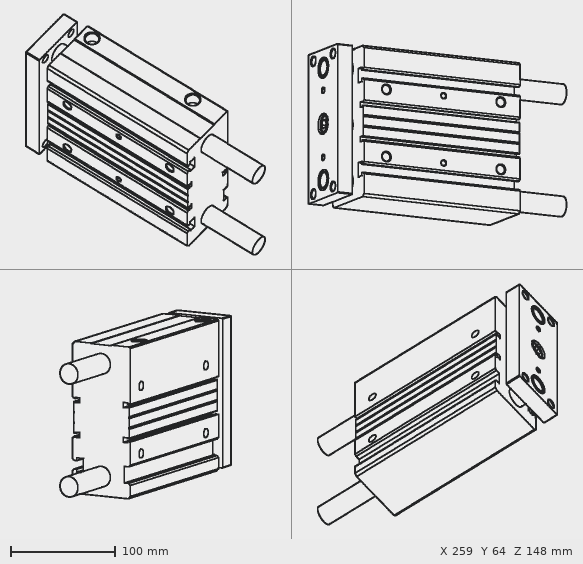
import cadquery as cq
import math

total_length = 259.0
plate_thickness = 16.0
plate_width = 59.8
plate_height = 145.8
plate_chamfer = 0.8
body_start = 27.5
body_end = 196.8
body_length = body_end - body_start
body_width = 64.0
body_height = 148.0
front_y = -body_width / 2
back_y = body_width / 2
top_z = body_height / 2

guide_spacing = 109.8
guide_diameter = 20.0
piston_diameter = 16.0
piston_end = 111.4
tip_diameter = 16.0
tip_chamfer = 0.8
guide_tip_recess = 0.5
piston_tip_recess = 1.0
seat_diameter = 20.0
guide_seat_depth = 0.8
piston_seat_depth = 2.3
hex_across_flats = 8.0
hex_depth = 5.2

corner_hole_spacing_y = 40.0
corner_hole_spacing_z = 130.0
rim_diameter = 10.0
drill_diameter = 8.5
pin_spacing = 65.8
pin_diameter = 5.0
pin_depth = 10.0
pin_rim_diameter = 6.0
drill_point_angle = 118.0

edge_chamfer = 2.5
small_chamfer = 1.3
slot_chamfer = 1.8
band_recess = 1.3
band_half_height = 15.5
band_chamfer = 0.8
notch_width = 2.8
notch_neck_depth = 3.4
notch_depth = 7.8
notch_inner_width = 5.0
groove_offset = 5.2
groove_width = 1.8
groove_depth = 0.5
top_recess_width = 22.0
top_recess_depth = 0.5
top_recess_slope = 0.8

t_slot_offset = 46.0
t_neck_width = 8.3
t_neck_depth = 5.0
t_inner_width = 14.0
t_slot_depth = 12.0
back_slot_z = -50.8
back_slot_width = 16.0
back_slot_depth = 6.5

mount_x = (51.8, 175.9)
body_pin_x = sum(mount_x) / len(mount_x)
port_x = (40.1, 162.1)
port_y = 21.8
port_diameter = 13.2
port_mouth_diameter = 15.3
port_depth = 13.0
port_passage_diameter = 4.7
port_passage_depth = 26.0
collar_diameter = 19.5
collar_thickness = 0.8


def cylinder(diameter, start, direction, length):
    return cq.Workplane(cq.Solid.makeCylinder(diameter / 2, length, cq.Vector(*start), cq.Vector(*direction)))


def cone(diameter_start, diameter_end, start, direction, length):
    return cq.Workplane(
        cq.Solid.makeCone(
            diameter_start / 2, diameter_end / 2, length, cq.Vector(*start), cq.Vector(*direction)
        )
    )


def point_along(start, direction, distance):
    return tuple(s + d * distance for s, d in zip(start, direction))


def drilled_hole(diameter, start, direction, depth, end_diameter=0.0):
    """Blind hole whose drill point narrows to end_diameter."""
    tip_length = (diameter - end_diameter) / 2 / math.tan(math.radians(drill_point_angle / 2))
    tip_start = point_along(start, direction, depth)
    return cylinder(diameter, start, direction, depth).union(
        cone(diameter, end_diameter, tip_start, direction, tip_length)
    )


def countersunk_hole(diameter, mouth_diameter, start, direction, depth):
    mouth_depth = (mouth_diameter - diameter) / 2
    return cylinder(diameter, start, direction, depth).union(
        cone(mouth_diameter, diameter, start, direction, mouth_depth)
    )


def pin_hole(start, direction):
    """Blind locating hole with a chamfered rim and a drill point."""
    chamfered = countersunk_hole(pin_diameter, pin_rim_diameter, start, direction, pin_depth)
    return chamfered.union(drilled_hole(pin_diameter, start, direction, pin_depth))


def profile_bar(points):
    """Prism along the whole body with an outline of (y, z) points."""
    return cq.Workplane("YZ", origin=(body_start, 0, 0)).polyline(points).close().extrude(body_length)


def profile_box(y_from, y_to, z_centre, height):
    low = z_centre - height / 2
    high = z_centre + height / 2
    return profile_bar([(y_from, low), (y_to, low), (y_to, high), (y_from, high)])


def body_blank():
    return profile_bar(
        [
            (front_y + edge_chamfer, -top_z),
            (back_y - edge_chamfer, -top_z),
            (back_y, -top_z + edge_chamfer),
            (back_y, top_z - small_chamfer),
            (back_y - small_chamfer, top_z),
            (front_y + edge_chamfer, top_z),
            (front_y, top_z - edge_chamfer),
            (front_y, -top_z + edge_chamfer),
        ]
    )


def slot_mouth(face_y, z_centre, width):
    """Chamfered opening of a slot, narrowing inward from face_y."""
    inner_y = face_y - math.copysign(slot_chamfer, face_y)
    half = width / 2
    return profile_bar(
        [
            (face_y, z_centre - half - slot_chamfer),
            (face_y, z_centre + half + slot_chamfer),
            (inner_y, z_centre + half),
            (inner_y, z_centre - half),
        ]
    )


def t_slot(z_centre):
    floor_y = front_y + t_slot_depth
    neck = profile_box(front_y, floor_y, z_centre, t_neck_width)
    inside = profile_box(front_y + t_neck_depth, floor_y, z_centre, t_inner_width)
    return neck.union(inside).union(slot_mouth(front_y, z_centre, t_neck_width))


def back_slot():
    slot = profile_box(back_y, back_y - back_slot_depth, back_slot_z, back_slot_width)
    return slot.union(slot_mouth(back_y, back_slot_z, back_slot_width))


def v_groove(face_y, inward, z_centre):
    return profile_bar(
        [
            (face_y, z_centre - groove_width / 2),
            (face_y, z_centre + groove_width / 2),
            (face_y + inward * groove_depth, z_centre),
        ]
    )


def centre_band(face_y):
    """Shallow recess between two narrow notches, with chamfered rims and two V-grooves."""
    inward = -math.copysign(1, face_y)
    band_y = face_y + inward * band_recess
    cut = profile_box(face_y, band_y, 0, 2 * band_half_height)
    for side in (-1, 1):
        notch_z = side * (band_half_height + notch_width / 2)
        cut = cut.union(profile_box(face_y, face_y + inward * notch_depth, notch_z, notch_width))
        neck_end_y = face_y + inward * notch_neck_depth
        cut = cut.union(profile_box(neck_end_y, face_y + inward * notch_depth, notch_z, notch_inner_width))
        band_rim = [
            (band_y, side * (band_half_height - band_chamfer)),
            (band_y, side * band_half_height),
            (band_y + inward * band_chamfer, side * band_half_height),
        ]
        cut = cut.union(profile_bar(band_rim)).union(v_groove(band_y, inward, side * groove_offset))
    return cut


def ridge_chamfers():
    """Chamfers where the front ridges meet the notches beside the centre band."""
    cut = cq.Workplane()
    for side in (-1, 1):
        ridge_z = side * (band_half_height + notch_width)
        corner = [
            (front_y, ridge_z),
            (front_y, ridge_z + side * slot_chamfer),
            (front_y + slot_chamfer, ridge_z),
        ]
        cut = cut.add(profile_bar(corner))
    return cut


def top_recess():
    """Shallow recess along the top face, with a sloping wall on its +Y side."""
    half = top_recess_width / 2
    floor_z = top_z - top_recess_depth
    return profile_bar([(-half, floor_z), (half - top_recess_slope, floor_z), (half, top_z), (-half, top_z)])


def mounting_holes():
    """Countersunk through holes and blind locating holes, all entering from the front face."""
    inward = (0, 1, 0)
    cut = cq.Workplane()
    for side in (-1, 1):
        z = side * pin_spacing / 2
        for x in mount_x:
            start = (x, front_y, z)
            cut = cut.add(countersunk_hole(drill_diameter, rim_diameter, start, inward, body_width))
        cut = cut.add(pin_hole((body_pin_x, front_y, z), inward))
    return cut


def air_ports():
    cut = cq.Workplane()
    down = (0, 0, -1)
    for x in port_x:
        mouth = (x, port_y, top_z)
        cut = cut.add(countersunk_hole(port_diameter, port_mouth_diameter, mouth, down, port_depth))
        cut = cut.add(drilled_hole(port_diameter, mouth, down, port_depth, port_passage_diameter))
        cut = cut.add(cylinder(port_passage_diameter, mouth, down, port_passage_depth))
    return cut


def cut_all(shape, tools):
    for tool in tools.vals():
        shape = shape.cut(cq.Workplane(tool))
    return shape


def make_body():
    body = body_blank()
    for side in (-1, 1):
        body = body.cut(t_slot(side * t_slot_offset))
    body = body.cut(back_slot())
    for face_y in (front_y, back_y):
        body = body.cut(centre_band(face_y))
    body = cut_all(body, ridge_chamfers())
    body = body.cut(top_recess())
    body = cut_all(body, mounting_holes())
    body = cut_all(body, air_ports())
    body = body.union(cylinder(collar_diameter, (body_start, 0, 0), (-1, 0, 0), collar_thickness))
    bore_start = body_start - collar_thickness
    body = body.cut(cylinder(piston_diameter, (bore_start, 0, 0), (1, 0, 0), piston_end - bore_start))
    for side in (-1, 1):
        z = side * guide_spacing / 2
        body = body.cut(cylinder(guide_diameter, (body_start, 0, z), (1, 0, 0), body_length))
    return body


def make_plate():
    inward = (1, 0, 0)
    plate = (
        cq.Workplane("XY")
        .box(plate_thickness, plate_width, plate_height, centered=(False, True, True))
        .edges("|X")
        .chamfer(plate_chamfer)
    )
    for z_side in (-1, 1):
        for y_side in (-1, 1):
            start = (0, y_side * corner_hole_spacing_y / 2, z_side * corner_hole_spacing_z / 2)
            plate = plate.cut(countersunk_hole(drill_diameter, rim_diameter, start, inward, plate_thickness))
        pin_start = (0, 0, z_side * pin_spacing / 2)
        plate = plate.cut(pin_hole(pin_start, inward))
        guide_start = (0, 0, z_side * guide_spacing / 2)
        plate = plate.cut(cylinder(seat_diameter, guide_start, inward, guide_seat_depth))
        plate = plate.cut(cylinder(tip_diameter, guide_start, inward, plate_thickness))
    plate = plate.cut(cylinder(seat_diameter, (0, 0, 0), inward, piston_seat_depth))
    return plate.cut(cylinder(tip_diameter, (0, 0, 0), inward, plate_thickness))


def make_rod(z, diameter, tip_start, end):
    """Rod with a chamfered tip that fills its hole in the plate."""
    tip = cylinder(tip_diameter, (tip_start, 0, z), (1, 0, 0), plate_thickness - tip_start)
    tip = tip.faces("<X").chamfer(tip_chamfer)
    shank = cylinder(diameter, (plate_thickness, 0, z), (1, 0, 0), end - plate_thickness)
    return tip.union(shank)


def make_guide_rod(side):
    return make_rod(side * guide_spacing / 2, guide_diameter, guide_tip_recess, total_length)


def make_piston_rod():
    rod = make_rod(0, piston_diameter, piston_tip_recess, piston_end)
    hex_corner_diameter = hex_across_flats / math.cos(math.pi / 6)
    socket = (
        cq.Workplane("YZ", origin=(piston_tip_recess, 0, 0))
        .polygon(6, hex_corner_diameter)
        .extrude(hex_depth)
    )
    return rod.cut(socket)


body = make_body()
plate = make_plate()
piston_rod = make_piston_rod()
guide_rods = [make_guide_rod(side) for side in (-1, 1)]

result = cq.Compound.makeCompound(
    [body.val(), plate.val(), piston_rod.val(), *[rod.val() for rod in guide_rods]]
)